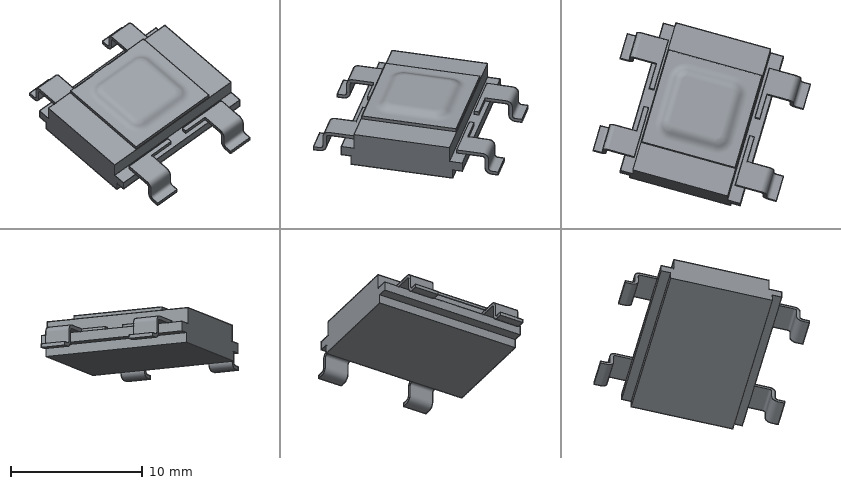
import cadquery as cq

housing_length = 12.0
base_half_width = 4.0
ledge_half_width = 4.75
upper_half_width = 3.75
ledge_bottom_z = 0.75
ledge_top_z = 1.5
housing_top_z = 2.75

lead_tip_x = 7.25
lead_inner_x = 4.0
lead_thickness = 0.28
lead_width = 2.0
lead_center_y = 3.75
foot_length = 0.5
foot_bend_radius = 0.25
shoulder_bend_radius = 0.19
foot_bend_outer_radius = foot_bend_radius + lead_thickness
shoulder_bend_outer_radius = shoulder_bend_radius + lead_thickness
lead_top_z = ledge_top_z + lead_thickness
tab_width = 0.375
tab_length = 2.0

plate_width = 7.4
plate_length = 7.5
plate_thickness = 0.27
plate_top_z = housing_top_z + plate_thickness
button_top_z = 3.35
button_corner_center = 1.77
button_top_radius = 0.25
button_base_radius = 1.33
quarter_turn = 90


def make_housing_block():
    right_side = [
        (base_half_width, 0),
        (base_half_width, ledge_bottom_z),
        (ledge_half_width, ledge_bottom_z),
        (ledge_half_width, ledge_top_z),
        (upper_half_width, ledge_top_z),
        (upper_half_width, housing_top_z),
    ]
    left_side = [(-x, z) for x, z in reversed(right_side)]
    outline = cq.Workplane("XZ").polyline(right_side + left_side).close()
    return outline.extrude(housing_length / 2, both=True)


def make_lead():
    """Lead on the +X, +Y corner, with its tab reaching toward the middle of the housing."""
    leg_outer_x = lead_tip_x - foot_length - foot_bend_radius
    leg_inner_x = leg_outer_x - lead_thickness
    foot_bend_x = leg_outer_x + foot_bend_radius
    foot_bend_z = foot_bend_outer_radius
    shoulder_bend_x = leg_outer_x - shoulder_bend_outer_radius
    shoulder_bend_z = lead_top_z - shoulder_bend_outer_radius

    strip = (
        cq.Workplane("XZ", origin=(0, lead_center_y, 0))
        .moveTo(lead_inner_x, ledge_top_z)
        .lineTo(shoulder_bend_x, ledge_top_z)
        .tangentArcPoint((leg_inner_x, shoulder_bend_z), relative=False)
        .lineTo(leg_inner_x, foot_bend_z)
        .tangentArcPoint((foot_bend_x, 0), relative=False)
        .lineTo(lead_tip_x, 0)
        .lineTo(lead_tip_x, lead_thickness)
        .lineTo(foot_bend_x, lead_thickness)
        .tangentArcPoint((leg_outer_x, foot_bend_z), relative=False)
        .lineTo(leg_outer_x, shoulder_bend_z)
        .tangentArcPoint((shoulder_bend_x, lead_top_z), relative=False)
        .lineTo(lead_inner_x, lead_top_z)
        .close()
        .extrude(lead_width / 2, both=True)
    )
    tab_start_y = lead_center_y - lead_width / 2 - tab_length
    tab = cq.Workplane("XY").box(tab_width, tab_length, lead_thickness, centered=False)
    return strip.union(tab.translate((lead_inner_x, tab_start_y, ledge_top_z)))


def make_housing():
    """Housing block joined with its four leads, mirrored about both middle planes."""
    lead = make_lead()
    right_leads = lead.union(lead.mirror("XZ"))
    return make_housing_block().union(right_leads).union(right_leads.mirror("YZ"))


def flank_outline(workplane):
    """Half section of the button, from the corner axis outward: crowned edge, then hollow foot."""
    run = (button_base_radius - button_top_radius) / 2
    rise = (button_top_z - plate_top_z) / 2
    middle = (button_top_radius + run, plate_top_z + rise)
    return (
        workplane.moveTo(0, plate_top_z)
        .lineTo(0, button_top_z)
        .lineTo(button_top_radius, button_top_z)
        .tangentArcPoint(middle, relative=False)
        .tangentArcPoint((button_base_radius, plate_top_z), relative=False)
        .close()
    )


def make_button():
    straight = 2 * button_corner_center
    height = button_top_z - plate_top_z
    core = cq.Workplane("XY").box(straight, straight, height, centered=(True, True, False))
    button = core.translate((0, 0, plate_top_z))
    flank = flank_outline(cq.Workplane("XZ")).extrude(button_corner_center, both=True)
    flank = flank.translate((button_corner_center, 0, 0))
    corner = flank_outline(cq.Workplane("XZ")).revolve(quarter_turn, (0, 0), (0, 1))
    corner = corner.translate((button_corner_center, button_corner_center, 0))
    for quarter in range(4):
        side = flank.union(corner).rotate((0, 0, 0), (0, 0, 1), quarter_turn * quarter)
        button = button.union(side)
    return button


def make_cover():
    plate = cq.Workplane("XY").box(plate_width, plate_length, plate_thickness, centered=(True, True, False))
    return plate.translate((0, 0, housing_top_z)).union(make_button())


housing = make_housing()
cover = make_cover()

result = cq.Compound.makeCompound([housing.val(), cover.val()])